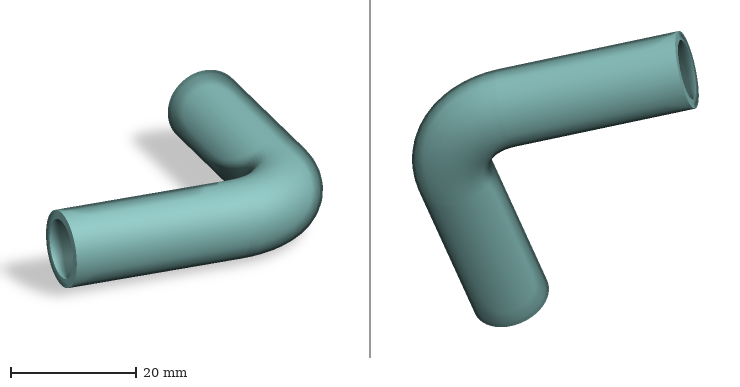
import cadquery as cq
import math

overall_length = 49.05
outer_diameter = 12.7
bore_diameter = 9.7

bend_radius = outer_diameter
leg_length = overall_length - bend_radius - outer_diameter / 2

bend_start = (leg_length, 0)
bend_middle = (
    leg_length + bend_radius * math.sin(math.pi / 4),
    -bend_radius * (1 - math.cos(math.pi / 4)),
)
bend_end = (leg_length + bend_radius, -bend_radius)
leg_end = (leg_length + bend_radius, -bend_radius - leg_length)

centreline = (
    cq.Workplane("XY")
    .moveTo(0, 0)
    .lineTo(*bend_start)
    .threePointArc(bend_middle, bend_end)
    .lineTo(*leg_end)
)

result = (
    cq.Workplane("YZ")
    .circle(outer_diameter / 2)
    .circle(bore_diameter / 2)
    .sweep(centreline)
)